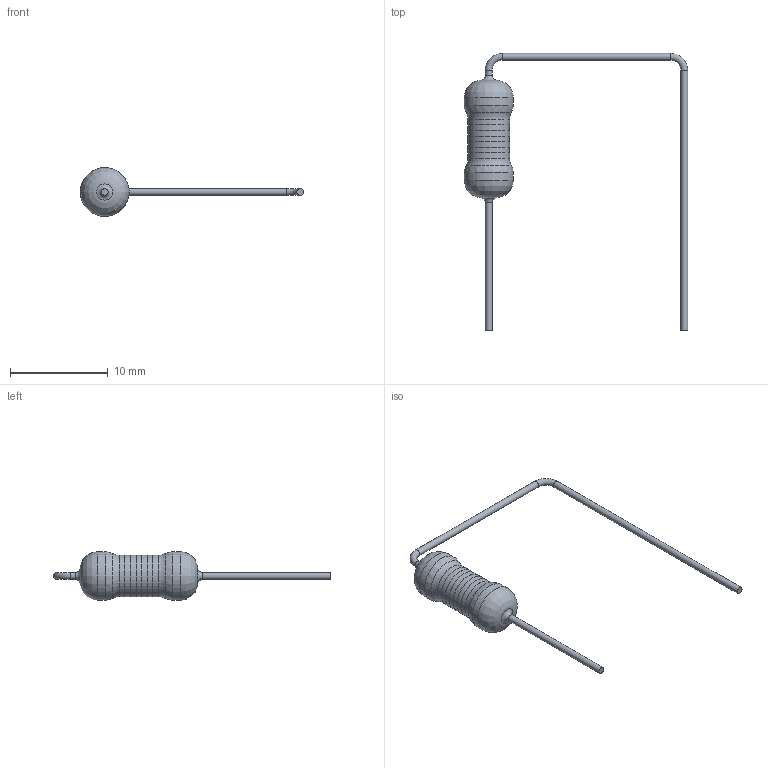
import cadquery as cq
import math


wire_diameter = 0.7
lead_spacing = 20.0
bend_radius = 1.4
overall_length = 28.35
body_length = 12.0
cap_diameter = 5.0
waist_diameter = 4.25
band_diameter = 4.27
waist_length = 4.0
waist_strips = 7
cap_round_radius = 1.75
shoulder_radius = 1.5
collar_radius = 0.5
collar_to_bend = 0.5

wire_radius = wire_diameter / 2
cap_radius = cap_diameter / 2
waist_radius = waist_diameter / 2
band_radius = band_diameter / 2
half_waist = waist_length / 2
strip_length = waist_length / waist_strips

shoulder_angle = math.acos(1 - (cap_radius - waist_radius) / (2 * shoulder_radius))
shoulder_middle_radius = (cap_radius + waist_radius) / 2
shoulder_middle_y = half_waist + shoulder_radius * math.sin(shoulder_angle)
shoulder_end_y = half_waist + 2 * shoulder_radius * math.sin(shoulder_angle)

round_center_x = cap_radius - cap_round_radius
round_center_y = body_length / 2 - cap_round_radius
collar_center_x = wire_radius + collar_radius
center_distance = cap_round_radius + collar_radius
collar_angle = math.acos((collar_center_x - round_center_x) / center_distance)
collar_center_y = round_center_y + center_distance * math.sin(collar_angle)

top_wire_y = collar_center_y + collar_to_bend + bend_radius
lead_end_y = top_wire_y + wire_radius - overall_length


def arc_point(center_x, center_y, radius, angle):
    """Point on a circle at an angle measured from +X."""
    return (center_x + radius * math.cos(angle), center_y + radius * math.sin(angle))


def body_end():
    """Shoulder, cap and collar at the +Y end, revolved about the Y axis."""
    waist_arc_x = waist_radius + shoulder_radius
    cap_arc_x = cap_radius - shoulder_radius
    half_shoulder = shoulder_angle / 2
    collar_start = collar_angle + math.pi
    collar_middle = (collar_start + math.pi) / 2
    profile = (
        cq.Workplane("XY")
        .moveTo(0, half_waist)
        .lineTo(waist_radius, half_waist)
        .threePointArc(
            arc_point(waist_arc_x, half_waist, shoulder_radius, math.pi - half_shoulder),
            (shoulder_middle_radius, shoulder_middle_y),
        )
        .threePointArc(
            arc_point(cap_arc_x, shoulder_end_y, shoulder_radius, -half_shoulder),
            (cap_radius, shoulder_end_y),
        )
        .lineTo(cap_radius, round_center_y)
        .threePointArc(
            arc_point(round_center_x, round_center_y, cap_round_radius, collar_angle / 2),
            arc_point(round_center_x, round_center_y, cap_round_radius, collar_angle),
        )
        .threePointArc(
            arc_point(collar_center_x, collar_center_y, collar_radius, collar_middle),
            (wire_radius, collar_center_y),
        )
        .lineTo(0, collar_center_y)
        .close()
    )
    return profile.revolve(360, (0, 0, 0), (0, 1, 0))


def cylinder_along_y(radius, start_y, end_y):
    """Cylinder on the Y axis from start_y to end_y."""
    return cq.Workplane("XZ", origin=(0, start_y, 0)).circle(radius).extrude(start_y - end_y)


def painted_band(strip):
    """Slightly raised ring covering one strip of the waist."""
    start_y = strip * strip_length - half_waist
    return cylinder_along_y(band_radius, start_y, start_y + strip_length)


def make_body():
    """Waist with two ends and a painted band on every second strip, end strips included."""
    upper_end = body_end()
    body = cylinder_along_y(waist_radius, -half_waist, half_waist)
    for strip in range(0, waist_strips, 2):
        body = body.union(painted_band(strip))
    return body.union(upper_end).union(upper_end.mirror("XZ"))


def straight_lead():
    """Lead leaving the -Y end of the body."""
    return cylinder_along_y(wire_radius, lead_end_y, -collar_center_y)


def bent_lead():
    """Lead leaving the +Y end, bent across and back down to the lead end."""
    bend_start_y = top_wire_y - bend_radius
    path = (
        cq.Workplane("XY")
        .moveTo(0, collar_center_y)
        .lineTo(0, bend_start_y)
        .radiusArc((bend_radius, top_wire_y), bend_radius)
        .lineTo(lead_spacing - bend_radius, top_wire_y)
        .radiusArc((lead_spacing, bend_start_y), bend_radius)
        .lineTo(lead_spacing, lead_end_y)
    )
    section = cq.Workplane("XZ", origin=(0, collar_center_y, 0)).circle(wire_radius)
    return section.sweep(path)


result = make_body().union(straight_lead()).union(bent_lead())